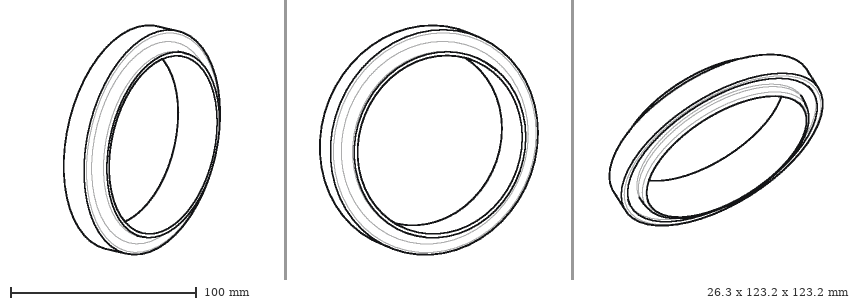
import cadquery as cq
import math

length = 26.3
outer_radius = 61.6
bore_radius = 97.7 / 2
tube_radius = 101.8 / 2
neck_radius = 103.1 / 2
groove_outer_radius = 115.9 / 2

flange_start = 4.8
flange_end = 19.2

lip_round = 1.5
rim_chamfer_axial = 0.4
rim_chamfer_radial = 1.5
hub_fillet = 4.6

groove_wall_depth = 1.7
groove_radius = (groove_outer_radius - neck_radius) / 2
groove_center = (flange_start + groove_wall_depth, neck_radius + groove_radius)


def arc_point(center, radius, degrees):
    """Point on a profile arc; angles run from +X toward the radial direction."""
    angle = math.radians(degrees)
    return (center[0] + radius * math.cos(angle), center[1] + radius * math.sin(angle))


lip_center = (lip_round, tube_radius - lip_round)
hub_center = (flange_end + hub_fillet, tube_radius + hub_fillet)
rim_shoulder_radius = outer_radius - rim_chamfer_radial

profile = (
    cq.Workplane("XY")
    .moveTo(0, bore_radius)
    .lineTo(0, lip_center[1])
    .threePointArc(arc_point(lip_center, lip_round, 135), (lip_round, tube_radius))
    .lineTo(flange_start, neck_radius)
    .lineTo(groove_center[0], neck_radius)
    .threePointArc(arc_point(groove_center, groove_radius, 0), (groove_center[0], groove_outer_radius))
    .lineTo(flange_start, groove_outer_radius)
    .lineTo(flange_start, rim_shoulder_radius)
    .lineTo(flange_start + rim_chamfer_axial, outer_radius)
    .lineTo(flange_end - rim_chamfer_axial, outer_radius)
    .lineTo(flange_end, rim_shoulder_radius)
    .lineTo(flange_end, hub_center[1])
    .threePointArc(arc_point(hub_center, hub_fillet, 225), (hub_center[0], tube_radius))
    .lineTo(length, tube_radius)
    .lineTo(length, bore_radius)
    .close()
)

result = profile.revolve(360, (0, 0, 0), (1, 0, 0))